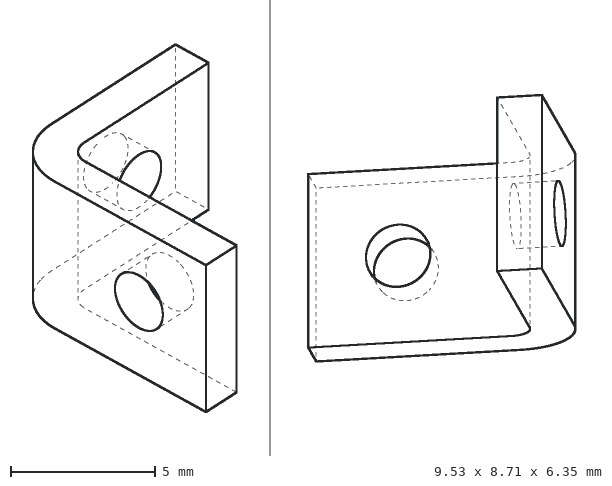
import cadquery as cq

length_x = 9.53
length_y = 8.71
height = 6.35

thickness = 1.57
inner_radius = 0.78
outer_radius = inner_radius + thickness

hole_diameter = 2.27
hole_x = length_x - height / 2
hole_y = 5.16


def bent_sheet():
    """L-shaped sheet with a rounded bend at the origin corner."""
    outline = (
        cq.Workplane("XY")
        .moveTo(outer_radius, 0)
        .lineTo(length_x, 0)
        .lineTo(length_x, thickness)
        .lineTo(outer_radius, thickness)
        .radiusArc((thickness, outer_radius), inner_radius)
        .lineTo(thickness, length_y)
        .lineTo(0, length_y)
        .lineTo(0, outer_radius)
        .radiusArc((outer_radius, 0), -outer_radius)
        .close()
    )
    return outline.extrude(height)


def leg_hole(center, direction):
    """Cylinder that cuts through one leg, starting at its outer face."""
    return cq.Workplane(
        cq.Solid.makeCylinder(hole_diameter / 2, thickness, cq.Vector(*center), cq.Vector(*direction))
    )


hole_z = height / 2
result = (
    bent_sheet()
    .cut(leg_hole((hole_x, 0, hole_z), (0, 1, 0)))
    .cut(leg_hole((0, hole_y, hole_z), (1, 0, 0)))
)